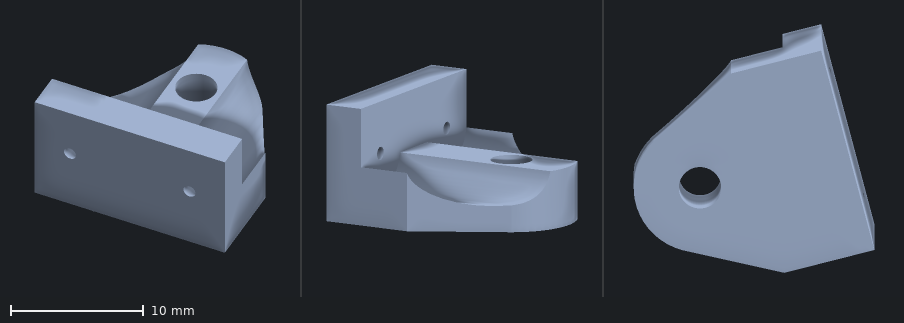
import math
import cadquery as cq

flange_height = 9.0
flange_thickness = 3.0
screw_hole_diameter = 1.0
screw_hole_offset = 5.0
screw_hole_height = 5.0

tongue_thickness = 4.5
tongue_length = 16.5
shoulder_y = 7.0
pivot_hole_diameter = 3.2
end_radius = 5.0
pivot_y = tongue_length - end_radius

groove_radius = 3.0
lip_drop = screw_hole_height - tongue_thickness
half_width = screw_hole_offset + math.sqrt(groove_radius**2 - lip_drop**2)
width = 2 * half_width

arc_end_angle = math.radians(30)
arc_end_x = end_radius * math.cos(arc_end_angle)
arc_end_y = pivot_y + end_radius * math.sin(arc_end_angle)


def make_flange():
    return cq.Workplane("XY").box(width, flange_thickness, flange_height, centered=(True, False, False))


def make_tongue():
    return (
        cq.Workplane("XY")
        .moveTo(-half_width, 0)
        .lineTo(half_width, 0)
        .lineTo(half_width, shoulder_y)
        .lineTo(arc_end_x, arc_end_y)
        .threePointArc((0, tongue_length), (-arc_end_x, arc_end_y))
        .lineTo(-half_width, shoulder_y)
        .close()
        .extrude(tongue_thickness)
        .faces(">Z")
        .workplane(origin=(0, pivot_y, 0))
        .hole(pivot_hole_diameter)
    )


def rod_along_y(x, radius, y_start, y_end):
    """Cylinder parallel to Y at the screw hole height."""
    start = cq.Vector(x, y_start, screw_hole_height)
    return cq.Workplane(cq.Solid.makeCylinder(radius, y_end - y_start, start, cq.Vector(0, 1, 0)))


result = make_flange().union(make_tongue())
for x in (-screw_hole_offset, screw_hole_offset):
    groove = rod_along_y(x, groove_radius, flange_thickness, tongue_length)
    screw_hole = rod_along_y(x, screw_hole_diameter / 2, 0, flange_thickness)
    result = result.cut(groove).cut(screw_hole)